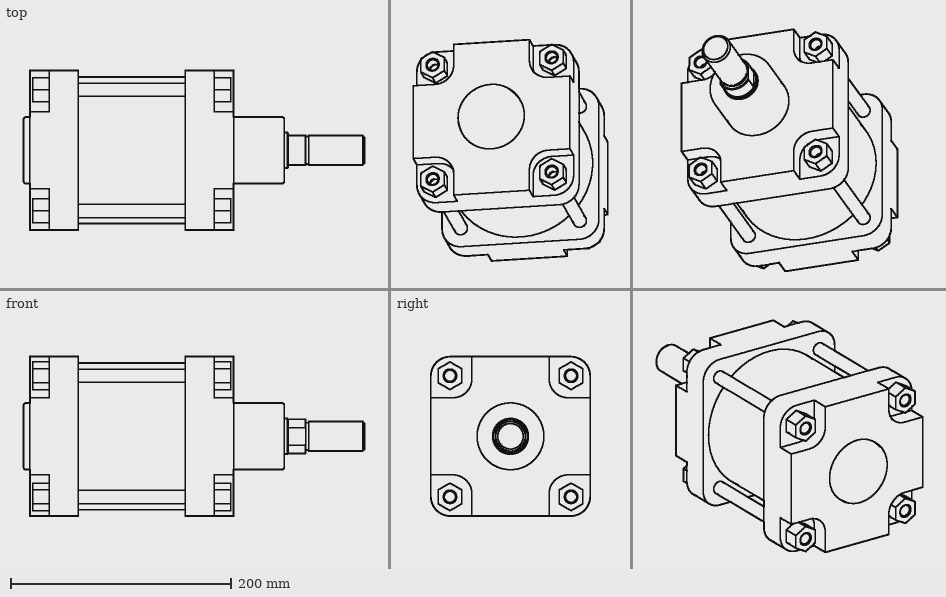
import cadquery as cq
import math


total_length = 310.0

cover_side = 145.0
cover_thickness = 44.0
cover_corner_radius = 18.0
cover_span = 185.0
pocket_side = 37.5
pocket_depth = 17.7
pocket_radius = 17.5

boss_diameter = 60.8
rear_boss_length = 6.0
rear_boss_fillet = 2.5
front_boss_length = 46.2
front_boss_fillet = 2.5

barrel_diameter = 133.5

tie_rod_diameter = 12.0
tie_rod_spacing = 110.0
nut_across_flats = 21.7
nut_thickness = 15.2
nut_bore_diameter = 10.2
nut_bore_chamfer = (tie_rod_diameter - nut_bore_diameter) / 2

rod_diameter = 32.5
rod_chamfer = 1.0
rod_exposed_length = 3.5
wrench_diameter = 31.3
wrench_length = 16.0
wrench_across_flats = 27.0
wrench_chamfer = 0.5
thread_diameter = 27.0
neck_diameter = 25.0
neck_length = 2.5
thread_end_chamfer = 2.0

rear_face = rear_boss_length
barrel_start = rear_face + cover_thickness
front_face = rear_face + cover_span
barrel_end = front_face - cover_thickness
boss_end = front_face + front_boss_length
wrench_start = boss_end + rod_exposed_length
neck_start = wrench_start + wrench_length
thread_start = neck_start + neck_length
rear_pocket_floor = rear_face + pocket_depth
front_pocket_floor = front_face - pocket_depth

tie_rod_offset = tie_rod_spacing / 2
corners = [(sy * tie_rod_offset, sz * tie_rod_offset) for sy in (-1, 1) for sz in (-1, 1)]


def plane_at(x):
    """Plane across the cylinder axis at x: local x is Y, local y is Z, normal is +X."""
    return cq.Workplane("YZ", origin=(x, 0, 0))


def round_bar(x_start, x_end, diameter):
    return plane_at(x_start).circle(diameter / 2).extrude(x_end - x_start)


def corner_pockets(x_start):
    """Four rounded square cutters, reaching past the cover sides so only the inner corner is rounded."""
    cutter_side = 2 * pocket_side
    return (
        plane_at(x_start)
        .rect(cover_side, cover_side, forConstruction=True)
        .vertices()
        .rect(cutter_side, cutter_side)
        .extrude(pocket_depth)
        .edges("|X")
        .fillet(pocket_radius)
    )


def make_cover(x_start, pocket_start):
    """Rounded square head with nut pockets and tie rod holes."""
    plate = (
        plane_at(x_start)
        .rect(cover_side, cover_side)
        .extrude(cover_thickness)
        .edges("|X")
        .fillet(cover_corner_radius)
    )
    holes = plane_at(x_start).pushPoints(corners).circle(tie_rod_diameter / 2).extrude(cover_thickness)
    return plate.cut(corner_pockets(pocket_start)).cut(holes)


def make_rear_cover():
    boss = round_bar(0, barrel_start, boss_diameter).faces("<X").edges().fillet(rear_boss_fillet)
    return make_cover(rear_face, rear_face).union(boss)


def make_front_cover():
    boss = round_bar(barrel_end, boss_end, boss_diameter).faces(">X").edges().fillet(front_boss_fillet)
    rod_bore = round_bar(barrel_end, boss_end, rod_diameter)
    return make_cover(barrel_end, front_pocket_floor).union(boss).cut(rod_bore)


def make_barrel():
    return round_bar(barrel_start, barrel_end, barrel_diameter)


def make_nut(outer_face, direction):
    """Nut from its outer face inward (direction +1 or -1 along X), with a chamfered bore."""
    across_corners = nut_across_flats / math.cos(math.pi / 6)
    nut = (
        plane_at(outer_face)
        .transformed(rotate=(0, 0, 90))
        .polygon(6, across_corners)
        .extrude(direction * nut_thickness)
    )
    bore = plane_at(outer_face).circle(nut_bore_diameter / 2).extrude(direction * nut_thickness)
    outer_side = "<X" if direction > 0 else ">X"
    return nut.cut(bore).faces(outer_side).edges("%CIRCLE").chamfer(nut_bore_chamfer)


def make_tie_rod(y, z):
    bar = round_bar(rear_pocket_floor, front_pocket_floor, tie_rod_diameter)
    rear_nut = make_nut(rear_pocket_floor - nut_thickness, 1)
    front_nut = make_nut(front_pocket_floor + nut_thickness, -1)
    return bar.union(rear_nut).union(front_nut).translate((0, y, z))


def make_piston_rod():
    shank = round_bar(barrel_end, wrench_start, rod_diameter).faces(">X").chamfer(rod_chamfer)
    flats = plane_at(wrench_start).rect(wrench_across_flats, rod_diameter).extrude(wrench_length)
    wrench = (
        round_bar(wrench_start, neck_start, wrench_diameter)
        .faces(">X")
        .chamfer(wrench_chamfer)
        .intersect(flats)
    )
    thread = round_bar(thread_start, total_length, thread_diameter).faces(">X").chamfer(thread_end_chamfer)
    neck = round_bar(neck_start, thread_start, neck_diameter)
    return shank.union(wrench).union(neck).union(thread)


rear_cover = make_rear_cover()
front_cover = make_front_cover()
barrel = make_barrel()
piston_rod = make_piston_rod()
tie_rods = [make_tie_rod(y, z) for y, z in corners]

result = cq.Compound.makeCompound(
    [
        rear_cover.val(),
        front_cover.val(),
        barrel.val(),
        piston_rod.val(),
        *[tie_rod.val() for tie_rod in tie_rods],
    ]
)